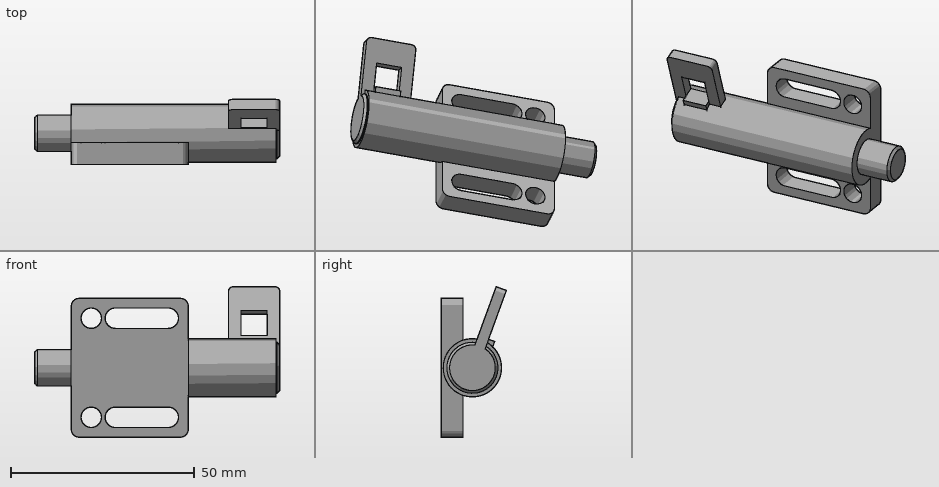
import cadquery as cq

overall_length = 67.0

housing_start = 10.0
barrel_radius = 8.0
barrel_end = 66.0
plate_length = 32.0
plate_height = 38.0
plate_thickness = 6.0
plate_front = -8.6
plate_corner_radius = 2.2
plate_center_x = housing_start + plate_length / 2

hole_diameter = 5.5
hole_x = 15.5
slot_start = 19.3
slot_end = 39.25
row_offset = 13.55
slot_length = slot_end - slot_start
slot_center_x = (slot_start + slot_end) / 2

pin_radius = 5.0
pin_chamfer = 0.75
cap_radius = 7.0
cap_chamfer = 0.75
lever_tilt = 20.0
lever_width = 14.1
lever_thickness = 3.0
lever_reach = 23.05
lever_corner_radius = 1.4
lever_center_x = overall_length - lever_width / 2
window_width = 7.1
window_bottom = 8.85
window_top = 16.1
tongue_reach = 3.3


def x_cylinder(radius, start, end):
    """Cylinder on the bolt axis between two X positions."""
    return cq.Workplane("YZ").workplane(offset=start).circle(radius).extrude(end - start)


def make_lever():
    """Flat lever rising from the axis, with a window and its rear tongue, leaned toward +Y."""
    lever = (
        cq.Workplane("XY")
        .box(lever_width, lever_thickness, lever_reach, centered=(True, True, False))
        .edges("|Y and >Z")
        .fillet(lever_corner_radius)
    )
    window = cq.Workplane("XY").workplane(offset=window_bottom).box(
        window_width, 2 * lever_thickness, window_top - window_bottom, centered=(True, True, False)
    )
    tongue = cq.Workplane("XY").box(
        window_width, tongue_reach, window_bottom, centered=(True, False, False)
    )
    lever = lever.cut(window).union(tongue)
    return lever.rotate((0, 0, 0), (1, 0, 0), -lever_tilt).translate((lever_center_x, 0, 0))


def make_bolt():
    """Pin, end cap and lever as one solid."""
    pin = x_cylinder(pin_radius, 0, barrel_end).faces("<X").chamfer(pin_chamfer)
    cap = x_cylinder(cap_radius, barrel_end, overall_length).faces(">X").chamfer(cap_chamfer)
    return pin.union(cap).union(make_lever())


def make_plate():
    """Rounded mounting plate with a hole and a slot in each row."""
    plate = (
        cq.Workplane("XY")
        .box(plate_length, plate_thickness, plate_height)
        .edges("|Y")
        .fillet(plate_corner_radius)
        .translate((plate_center_x, plate_front + plate_thickness / 2, 0))
    )
    rows = (-row_offset, row_offset)
    back_face = cq.Workplane("XZ", origin=(0, plate_front + plate_thickness, 0))
    holes = (
        back_face.pushPoints([(hole_x, z) for z in rows])
        .circle(hole_diameter / 2)
        .extrude(plate_thickness)
    )
    slots = (
        back_face.pushPoints([(slot_center_x, z) for z in rows])
        .slot2D(slot_length, hole_diameter)
        .extrude(plate_thickness)
    )
    return plate.cut(holes).cut(slots)


def make_housing(bolt):
    """Plate and barrel, with a bore and lever slot that match the bolt."""
    barrel = x_cylinder(barrel_radius, housing_start, barrel_end)
    return make_plate().union(barrel).cut(bolt)


bolt = make_bolt()
housing = make_housing(bolt)

result = cq.Compound.makeCompound([housing.solids().val(), bolt.solids().val()])